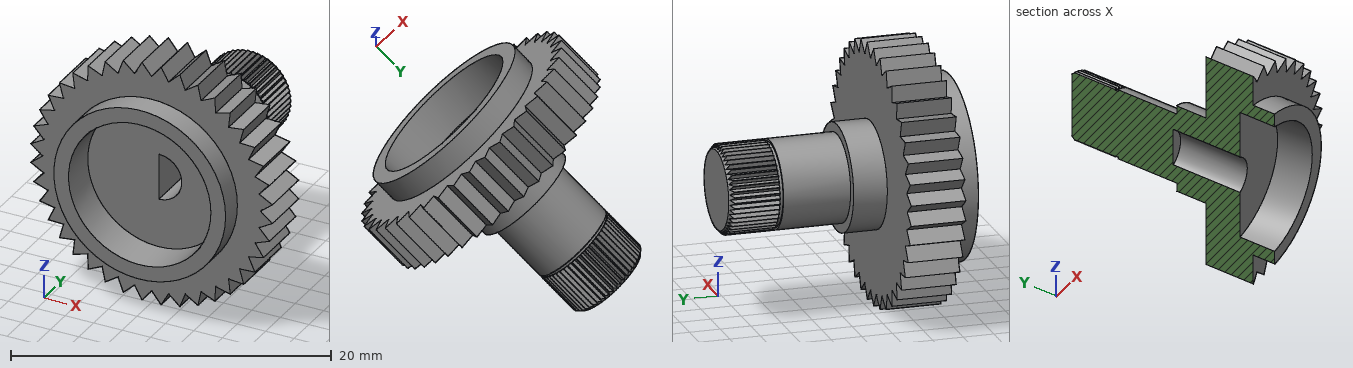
import cadquery as cq
import math

RIM_LENGTH = 1.6
GEAR_WIDTH = 3.57
COLLAR_LENGTH = 2.2
SHAFT_LENGTH = 4.38
NECK_LENGTH = 0.2
SPLINE_LENGTH = 3.29

GEAR_TEETH = 40
GEAR_TIP_RADIUS = 8.513
GEAR_ROOT_RADIUS = 7.65

RIM_RADIUS = 6.03
BORE_RADIUS = 5.0
COLLAR_RADIUS = 3.5
SHAFT_RADIUS = 2.88
NECK_RADIUS = 2.75

SPLINE_TEETH = 50
SPLINE_TIP_RADIUS = SHAFT_RADIUS
SPLINE_ROOT_RADIUS = 2.65
SPLINE_TIP_LAND = 0.04
SPLINE_CHAMFER = 0.3
ENVELOPE_MARGIN = 0.5

BORE_DEPTH = 2.6
D_HOLE_RADIUS = 1.6
D_HOLE_DEPTH = 5.0

RIM_START = -RIM_LENGTH
GEAR_END = GEAR_WIDTH
COLLAR_END = GEAR_END + COLLAR_LENGTH
SHAFT_END = COLLAR_END + SHAFT_LENGTH
NECK_END = SHAFT_END + NECK_LENGTH
SPLINE_END = NECK_END + SPLINE_LENGTH
BORE_FLOOR = RIM_START + BORE_DEPTH


def section_plane(y):
    """Plane across the axis at station y, with local x = X, local y = Z and normal -Y."""
    return cq.Workplane("XZ", origin=(0, y, 0))


def cylinder(radius, start, end):
    """Solid cylinder on the Y axis from station start to station end."""
    return section_plane(start).circle(radius).extrude(start - end)


def polar(radius, angle):
    """Point at the given radius and angle from the +X axis."""
    return (radius * math.cos(angle), radius * math.sin(angle))


def toothed_prism(teeth, tip_radius, root_radius, start, end, tip_land=0):
    """Prism with V teeth, pointed or with a narrow land at the tip; a root lies on the +Z axis."""
    pitch_angle = 2 * math.pi / teeth
    half_land_angle = math.asin(tip_land / 2 / tip_radius)
    points = []
    for index in range(teeth):
        root_angle = math.pi / 2 + index * pitch_angle
        tip_angle = root_angle + pitch_angle / 2
        points.append(polar(root_radius, root_angle))
        points.append(polar(tip_radius, tip_angle - half_land_angle))
        if tip_land > 0:
            points.append(polar(tip_radius, tip_angle + half_land_angle))
    return section_plane(start).polyline(points).close().extrude(start - end)


def stepped_shaft():
    """Rim, collar, plain shaft and neck, reaching from the rim face to the spline."""
    rim = cylinder(RIM_RADIUS, RIM_START, GEAR_END)
    collar = cylinder(COLLAR_RADIUS, GEAR_END, COLLAR_END)
    shaft = cylinder(SHAFT_RADIUS, COLLAR_END, SHAFT_END)
    neck = cylinder(NECK_RADIUS, SHAFT_END, NECK_END)
    return rim.union(collar).union(shaft).union(neck)


def splined_end():
    """Spline with its free end turned to a 45 degree chamfer."""
    spline = toothed_prism(
        SPLINE_TEETH, SPLINE_TIP_RADIUS, SPLINE_ROOT_RADIUS, NECK_END, SPLINE_END, SPLINE_TIP_LAND
    )
    envelope = (
        cylinder(SPLINE_TIP_RADIUS + ENVELOPE_MARGIN, NECK_END, SPLINE_END)
        .faces(">Y")
        .chamfer(SPLINE_CHAMFER + ENVELOPE_MARGIN)
    )
    return spline.intersect(envelope)


def d_hole():
    """Blind half-round hole on the +X side of the axis."""
    return (
        section_plane(BORE_FLOOR)
        .moveTo(0, -D_HOLE_RADIUS)
        .threePointArc((D_HOLE_RADIUS, 0), (0, D_HOLE_RADIUS))
        .close()
        .extrude(-D_HOLE_DEPTH)
    )


gear = toothed_prism(GEAR_TEETH, GEAR_TIP_RADIUS, GEAR_ROOT_RADIUS, 0, GEAR_END)
bore = cylinder(BORE_RADIUS, RIM_START, BORE_FLOOR)
result = stepped_shaft().union(gear).union(splined_end()).cut(bore).cut(d_hole())